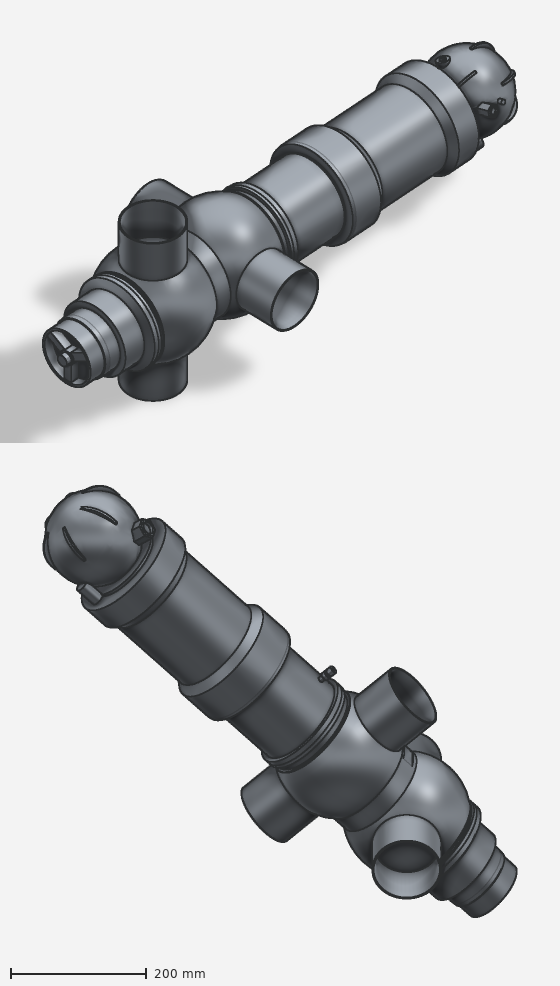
import cadquery as cq
import math


port_length = 300.0
pipe_outer_d = 101.6
pipe_inner_d = 97.38
pipe_overlap = 4.0
port_spacing = 144.7
sphere_r = 94.5
neck_d = 150.0
collar_d = 144.0
flange_d = 155.0
collar_top_y = 213.5
collar_bottom_y = -62.5
flange_half = 6.0
chamber_lip_d = 153.0
chamber_lip_y = 57.5
tag_pocket_length = 19.0
tag_pocket_width = 38.0
tag_pocket_y = 74.0

lantern_d = 141.0
lantern_top_y = 334.0
lantern_flange_top_y = 228.0
fitting_y = 258.0
fitting_tip_x = -97.0
fitting_d = 12.6
fitting_head_length = 19.0
fitting_neck_d = 8.3
fitting_depth_in_lantern = 8.0
fitting_bore_d = 4.0
fitting_bore_depth = 15.0
fitting_groove_d = 10.4
fitting_groove_width = 3.0

barrel_d = 150.0
end_band_d = 171.0
band_taper = 14.0
top_band_top_y = 604.0
top_band_length = 42.0
bottom_band_top_y = 396.0
bottom_band_bottom_y = 343.0
cover_bottom_y = 337.0
cover_d = 169.0
head_seat_d = 120.0
head_seat_y = 608.5

dome_r = 72.0
dome_center_y = 667.6
connector_y = 639.0
rib_count = 6
rib_first_angle = 94.0
rib_width = 4.0
rib_bottom_y = 681.0
rib_top_y = 729.0
rib_flank_r = 72.3
rib_corner_r = 40.0
rib_root_r = 32.0
lug_angle = 64.0
lug_bottom_y = 616.0
lug_top_y = 654.0
lug_depth = 8.0
lug_height = 1.5
gland_angle = 200.0
gland_flats = 28.0
gland_reach = 89.0
gland_recess_d = 19.0
gland_recess_depth = 6.0
connector_chamfer = 2.0
plug_angle = 18.0
plug_flats = 19.0
plug_reach = 87.5
plug_recess_d = 12.0
plug_recess_depth = 4.0
button_d = 8.0
button_reach = 80.0
button_y = 666.0
vent_angle = 108.0
vent_d = 22.0
vent_reach = 70.0
vent_hole_d = 10.5
vent_hole_depth = 6.0
socket_d = 20.0
socket_x = 45.0
socket_z = -56.0
socket_bottom_y = 612.0
socket_top_y = 646.0

cap_taper_start_y = -77.0
cap_taper_end_y = -84.0
cap_body_d = 126.0
cap_body_end_y = -124.0
cap_step_d = 104.0
cap_step_end_y = -146.0
cap_bevel_d = 102.5
cap_bevel_end_y = -154.5
cap_rim_d = 98.0
cap_rim_end_y = -183.5
cap_recess_d = 90.0
cap_recess_depth = 18.0
spoke_count = 3
spoke_first_angle = 30.0
spoke_width = 14.0
spoke_setback = 2.0
hub_d = 25.0
screw_d = 19.0
screw_depth = 12.0
screw_end_y = -193.2


def disc(diameter, y_low, y_high):
    """Cylinder on the main axis between two Y positions."""
    plane = cq.Workplane("XZ", origin=(0, y_low, 0))
    return plane.circle(diameter / 2).extrude(-(y_high - y_low))


def turned(points):
    """Solid of revolution about Y from (radius, y) outline points that start and end on the axis."""
    return cq.Workplane("XY").polyline(points).close().revolve(360, (0, 0, 0), (0, 1, 0))


def turn_about_y(body, angle):
    """Turn a body from the +X direction to the given angle, measured from +X towards +Z."""
    return body.rotate((0, 0, 0), (0, 1, 0), -angle)


def radial_pin(diameter, start_x, end_x, y):
    """Cylinder along X, ready to be turned about the main axis."""
    return cq.Workplane("YZ", origin=(start_x, y, 0)).circle(diameter / 2).extrude(end_x - start_x)


def make_housing():
    """Two spherical chambers on a neck, flanged at both ends, each with a pair of port pipes."""
    collar_r = collar_d / 2
    flange_r = flange_d / 2
    neck_r = neck_d / 2
    lip_r = chamber_lip_d / 2
    lip_reach = math.sqrt(sphere_r**2 - lip_r**2)
    neck_reach = math.sqrt(sphere_r**2 - neck_r**2)
    upper_y = port_spacing
    outline = (
        cq.Workplane("XY")
        .moveTo(0, collar_bottom_y - flange_half)
        .lineTo(flange_r, collar_bottom_y - flange_half)
        .lineTo(flange_r, collar_bottom_y)
        .lineTo(collar_r, collar_bottom_y)
        .lineTo(collar_r, -chamber_lip_y)
        .lineTo(lip_r, -chamber_lip_y)
        .lineTo(lip_r, -lip_reach)
        .threePointArc((sphere_r, 0), (neck_r, neck_reach))
        .lineTo(neck_r, upper_y - neck_reach)
        .threePointArc((sphere_r, upper_y), (lip_r, upper_y + lip_reach))
        .lineTo(lip_r, upper_y + chamber_lip_y)
        .lineTo(collar_r, upper_y + chamber_lip_y)
        .lineTo(collar_r, collar_top_y)
        .lineTo(flange_r, collar_top_y)
        .lineTo(flange_r, collar_top_y + flange_half)
        .lineTo(0, collar_top_y + flange_half)
        .close()
    )
    body = outline.revolve(360, (0, 0, 0), (0, 1, 0))

    pipe_start = math.sqrt(sphere_r**2 - (pipe_outer_d / 2) ** 2) - pipe_overlap
    pipe = cq.Workplane("YZ", origin=(pipe_start, 0, 0)).circle(pipe_outer_d / 2).circle(pipe_inner_d / 2)
    pipe = pipe.extrude(port_length / 2 - pipe_start)
    for angle in (0, 180):
        body = body.union(turn_about_y(pipe, angle).translate((0, upper_y, 0)))
        body = body.union(turn_about_y(pipe, angle + 90))

    pocket_floor_x = -math.sqrt((neck_d / 2) ** 2 - (tag_pocket_width / 2) ** 2)
    pocket_depth = neck_d / 2 + pocket_floor_x
    pocket = cq.Workplane("XY").box(pocket_depth, tag_pocket_length, tag_pocket_width)
    return body.cut(pocket.translate((pocket_floor_x - pocket_depth / 2, tag_pocket_y, 0)))


def make_fitting():
    """Grooved air fitting that screws into the -X side of the lantern."""
    inner_x = -lantern_d / 2 + fitting_depth_in_lantern
    head_end_x = fitting_tip_x + fitting_head_length
    body = radial_pin(fitting_d, fitting_tip_x, head_end_x, fitting_y)
    body = body.union(radial_pin(fitting_neck_d, head_end_x, inner_x, fitting_y))
    groove_x = fitting_tip_x + fitting_head_length / 2
    groove = cq.Workplane("YZ", origin=(groove_x, fitting_y, 0))
    groove = groove.circle(fitting_d / 2).circle(fitting_groove_d / 2)
    body = body.cut(groove.extrude(fitting_groove_width))
    return body.cut(radial_pin(fitting_bore_d, fitting_tip_x, fitting_tip_x + fitting_bore_depth, fitting_y))


def make_lantern():
    """Plain cylinder with a flange that sits on the housing flange."""
    flange_bottom_y = collar_top_y + flange_half
    body = disc(lantern_d, flange_bottom_y, lantern_top_y)
    body = body.union(disc(flange_d, flange_bottom_y, lantern_flange_top_y))
    seat_x = -lantern_d / 2 + fitting_depth_in_lantern
    return body.cut(radial_pin(fitting_neck_d, -lantern_d, seat_x, fitting_y))


def make_actuator():
    """Barrel with a tapered wide band at each end, a bottom cover and a seat for the control head."""
    top_band_bottom_y = top_band_top_y - top_band_length
    band_r = end_band_d / 2
    body = turned(
        [
            (0, lantern_top_y),
            (lantern_d / 2, lantern_top_y),
            (lantern_d / 2, cover_bottom_y),
            (cover_d / 2, cover_bottom_y),
            (band_r, bottom_band_bottom_y),
            (band_r, bottom_band_top_y),
            (barrel_d / 2, bottom_band_top_y + band_taper),
            (barrel_d / 2, top_band_bottom_y - band_taper),
            (band_r, top_band_bottom_y),
            (band_r, top_band_top_y),
            (0, top_band_top_y),
        ]
    )
    return body.union(disc(head_seat_d, top_band_top_y, head_seat_y))


def make_rib():
    """Thin fin on the dome in the +X direction, with a rounded outer corner."""
    outline = (
        cq.Workplane("XY")
        .moveTo(rib_root_r, rib_bottom_y)
        .lineTo(rib_flank_r, rib_bottom_y)
        .lineTo(rib_flank_r, rib_top_y - rib_corner_r)
        .radiusArc((rib_flank_r - rib_corner_r, rib_top_y), -rib_corner_r)
        .close()
    )
    return outline.extrude(rib_width / 2, both=True)


def make_lug():
    """Short fin low on the dome in the +X direction that follows the dome."""
    sweep_r = dome_r + lug_height
    ring = cq.Workplane("XY").center(0, dome_center_y).circle(sweep_r).circle(sweep_r - lug_depth)
    ring = ring.extrude(rib_width / 2, both=True)
    length = lug_top_y - lug_bottom_y
    window = cq.Workplane("XY").box(sweep_r, length, rib_width)
    return ring.intersect(window.translate((sweep_r / 2, (lug_top_y + lug_bottom_y) / 2, 0)))


def make_connector(across_flats, reach, recess_d, recess_depth, angle):
    """Hexagonal chamfered connector standing out of the dome, with a recess in its end."""
    across_corners = across_flats / math.cos(math.pi / 6)
    hexagon = cq.Workplane("YZ", origin=(dome_r / 2, 0, 0)).polygon(6, across_corners)
    body = hexagon.extrude(reach - dome_r / 2)
    body = body.rotate((0, 0, 0), (1, 0, 0), 30).translate((0, connector_y, 0))
    body = body.faces(">X").chamfer(connector_chamfer)
    body = body.cut(radial_pin(recess_d, reach - recess_depth, reach, connector_y))
    return turn_about_y(body, angle)


def make_control_head():
    """Dome cut flat at the actuator, with ribs, connectors, a vent and a socket."""
    body = cq.Workplane("XY").sphere(dome_r).translate((0, dome_center_y, 0))
    body = body.intersect(disc(2 * dome_r, head_seat_y, dome_center_y + dome_r))
    rib_step = 360 / rib_count
    for index in range(rib_count):
        body = body.union(turn_about_y(make_rib(), rib_first_angle + index * rib_step))
    body = body.union(turn_about_y(make_lug(), lug_angle))
    body = body.union(make_connector(gland_flats, gland_reach, gland_recess_d, gland_recess_depth, gland_angle))
    body = body.union(make_connector(plug_flats, plug_reach, plug_recess_d, plug_recess_depth, plug_angle))
    body = body.union(turn_about_y(radial_pin(vent_d, dome_r / 2, vent_reach, connector_y), vent_angle))
    vent_hole = radial_pin(vent_hole_d, vent_reach - vent_hole_depth, vent_reach, connector_y)
    body = body.cut(turn_about_y(vent_hole, vent_angle))
    body = body.union(turn_about_y(radial_pin(button_d, dome_r / 2, button_reach, button_y), plug_angle))
    socket = disc(socket_d, socket_bottom_y, socket_top_y).translate((socket_x, 0, socket_z))
    return body.union(socket)


def make_bottom_cap():
    """Stepped cap with a three-spoke recess in its end."""
    top_y = collar_bottom_y - flange_half
    body = turned(
        [
            (0, top_y),
            (flange_d / 2, top_y),
            (flange_d / 2, cap_taper_start_y),
            (cap_body_d / 2, cap_taper_end_y),
            (cap_body_d / 2, cap_body_end_y),
            (cap_step_d / 2, cap_body_end_y),
            (cap_step_d / 2, cap_step_end_y),
            (cap_bevel_d / 2, cap_bevel_end_y),
            (cap_rim_d / 2, cap_bevel_end_y),
            (cap_rim_d / 2, cap_rim_end_y),
            (0, cap_rim_end_y),
        ]
    )
    floor_y = cap_rim_end_y + cap_recess_depth
    body = body.cut(disc(cap_recess_d, cap_rim_end_y, floor_y))
    spoke_length = (cap_recess_d + cap_rim_d) / 4
    spoke_height = cap_recess_depth - spoke_setback
    spoke = cq.Workplane("XY").box(spoke_length, spoke_height, spoke_width)
    spoke = spoke.translate((spoke_length / 2, floor_y - spoke_height / 2, 0))
    spoke_step = 360 / spoke_count
    for index in range(spoke_count):
        body = body.union(turn_about_y(spoke, spoke_first_angle + index * spoke_step))
    body = body.union(disc(hub_d, cap_rim_end_y, floor_y))
    return body.cut(disc(screw_d, cap_rim_end_y, cap_rim_end_y + screw_depth))


def make_centre_screw():
    """Round screw that stands out of the hub of the bottom cap."""
    return disc(screw_d, screw_end_y, cap_rim_end_y + screw_depth)


control_head = make_control_head()
actuator = make_actuator()
lantern = make_lantern()
fitting = make_fitting()
housing = make_housing()
bottom_cap = make_bottom_cap()
centre_screw = make_centre_screw()

bodies = [control_head, actuator, lantern, fitting, housing, bottom_cap, centre_screw]
result = cq.Compound.makeCompound([body.solids().val() for body in bodies])